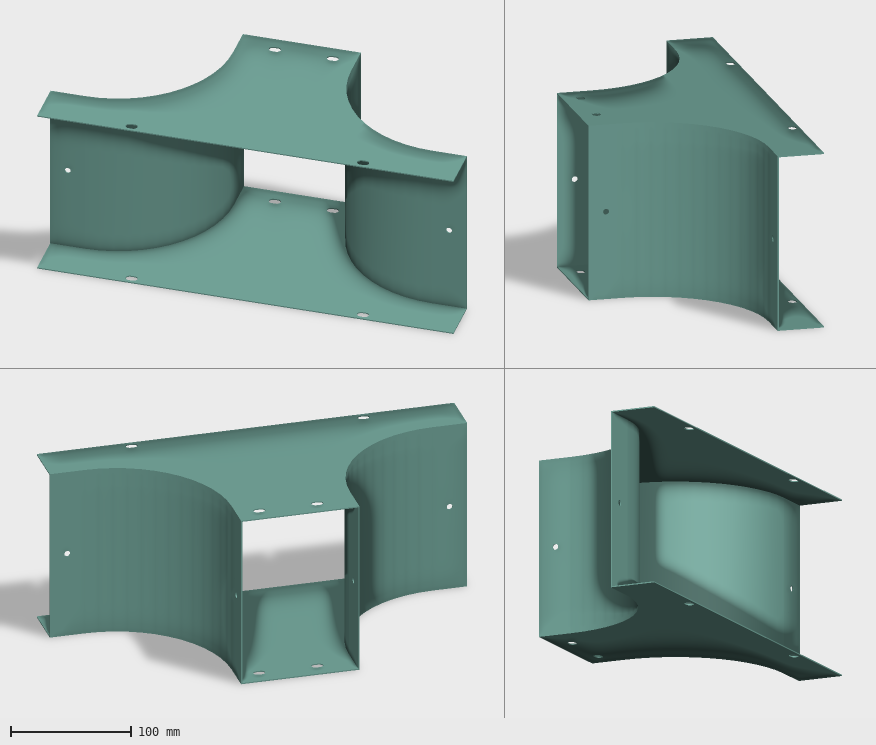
import cadquery as cq

length = 360.0
depth = 168.0
height = 151.0
sheet = 1.0

passage_width = 100.0
bend_radius = 100.0
branch_straight = 29.0

slot_length = 10.0
slot_width = 7.0
branch_slot_spacing = 50.0
branch_slot_inset = 15.0
branch_slot_shift = 6.0
front_slot_spacing = 200.0
front_slot_inset = 6.0

wall_hole_diameter = 5.0
wall_hole_inset = 15.0

half_length = length / 2
half_passage = passage_width / 2
rear_y = depth
arm_y = rear_y - branch_straight - bend_radius
mid_height = height / 2


def side_recess(offset):
    """Full-height void beside the right of the branch, its faces moved outward by offset."""
    face_x = half_passage + offset
    face_y = arm_y + offset
    radius = bend_radius - offset
    center_x = half_passage + bend_radius
    center_y = arm_y + bend_radius
    return (
        cq.Workplane("XY")
        .moveTo(face_x, rear_y)
        .lineTo(face_x, center_y)
        .radiusArc((center_x, face_y), -radius)
        .lineTo(half_length, face_y)
        .lineTo(half_length, rear_y)
        .close()
        .extrude(height)
    )


def mirrored_pair(solid):
    return solid.union(solid.mirror("YZ"))


def plate_slots(spacing, y, center_x=0):
    """Pair of slots, long in X, through both plates."""
    return (
        cq.Workplane("XY")
        .pushPoints([(center_x - spacing / 2, y), (center_x + spacing / 2, y)])
        .slot2D(slot_length, slot_width)
        .extrude(height)
    )


tee = cq.Workplane("XY").box(length, depth, height, centered=(True, False, False))
tee = tee.cut(mirrored_pair(side_recess(sheet)))

passage = (
    cq.Workplane("XY")
    .box(length, depth, height, centered=(True, False, False))
    .cut(mirrored_pair(side_recess(0)))
    .intersect(
        cq.Workplane("XY", origin=(0, 0, sheet))
        .box(length, depth, height - 2 * sheet, centered=(True, False, False))
    )
)
result = tee.cut(passage)

result = result.cut(plate_slots(branch_slot_spacing, rear_y - branch_slot_inset, branch_slot_shift))
result = result.cut(plate_slots(front_slot_spacing, front_slot_inset))

branch_holes = (
    cq.Workplane("YZ")
    .center(rear_y - wall_hole_inset, mid_height)
    .circle(wall_hole_diameter / 2)
    .extrude(half_length, both=True)
)
result = result.cut(branch_holes)

arm_hole_x = half_length - wall_hole_inset
arm_holes = (
    cq.Workplane("XZ")
    .pushPoints([(-arm_hole_x, mid_height), (arm_hole_x, mid_height)])
    .circle(wall_hole_diameter / 2)
    .extrude(-depth)
)
result = result.cut(arm_holes)